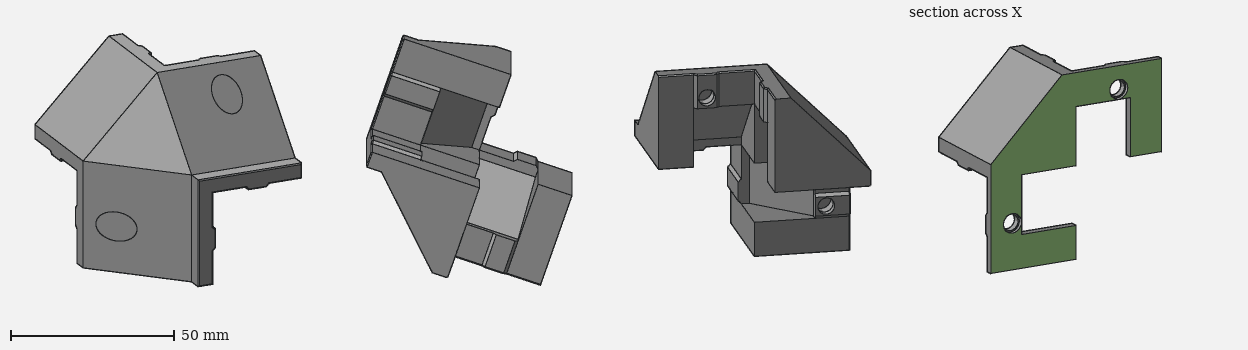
import cadquery as cq


arm_count = 3
outer_reach = 60.0
section = outer_reach / 2
wall = 5.0
plate_thickness = 5.0
edge_chamfer = 0.4
selection_margin = 0.05

tab_base = 8.0
tab_height = 1.0

pocket_start = section / 2 - tab_base / 2
pocket_reach = section - pocket_start
pocket_lip = wall / 2
pocket_clearance = 2 * tab_height

hole_edge_distance = 7.7
screw_hole_diameter = 5.2
bore_diameter = 6.1
cap_diameter = 9.5
screw_floor = 2.35
cap_seat_x = 6.5


def turned(shape, steps):
    """Turn a shape of the -X arm onto the +Y arm (1 step) or the -Z arm (2 steps)."""
    return shape.rotate((0, 0, 0), (-1, 1, -1), 360 / arm_count * steps)


def arm_prism(outline, start_x, end_x):
    """Extrude an outline of (-Y, +Z) distances from the inner corner along the -X arm."""
    points = [(-y_out, z_out) for y_out, z_out in outline]
    return cq.Workplane("YZ", origin=(start_x, 0, 0)).polyline(points).close().extrude(end_x - start_x)


def bar():
    """Square bar of the -X arm, continued through the corner."""
    square = [(0, 0), (section, 0), (section, section), (0, section)]
    return arm_prism(square, -section, section)


def ridge():
    """Outer edge of an arm, removed to leave its sloped face."""
    triangle = [(section, wall), (section, section), (wall, section)]
    return arm_prism(triangle, -section, section)


def corner_tip():
    """Block beyond the triangular face that joins the three slopes."""
    block_size = 4 * section
    face = cq.Plane(origin=(wall, -wall, section), xDir=(1, 1, 0), normal=(1, -1, 1))
    return cq.Workplane(face).rect(block_size, block_size).extrude(section)


def plate():
    """L-shaped thickening of the +X outer face."""
    outline = [(-wall, wall), (section, wall), (section, 0), (0, 0), (0, -section), (-wall, -section)]
    return cq.Workplane("YZ", origin=(section, 0, 0)).polyline(outline).close().extrude(plate_thickness)


def tab(length):
    """Tab under the -X arm, running outward along -Y."""
    middle = -section / 2
    half_base = tab_base / 2
    half_top = half_base - tab_height
    outline = [
        (middle - half_base, 0),
        (middle - half_top, -tab_height),
        (middle + half_top, -tab_height),
        (middle + half_base, 0),
    ]
    return cq.Workplane("XZ").polyline(outline).close().extrude(length)


def swapped(shape):
    """Mirror that exchanges outward -Y with outward +Z, and the +Y arm with the -Z arm."""
    return shape.mirror((0, 1, 1))


def pocket():
    """Pocket of the -X arm, with an inner face parallel to the slope."""
    outline = [
        (-pocket_clearance, -pocket_clearance),
        (pocket_reach, -pocket_clearance),
        (pocket_reach, pocket_lip),
        (pocket_lip, pocket_reach),
        (-pocket_clearance, pocket_reach),
    ]
    return arm_prism(outline, pocket_start - section, 0)


def x_cylinder(diameter, start_x, end_x):
    """Cylinder on the screw axis of the +Y arm."""
    axis_start = (start_x, section / 2, section - hole_edge_distance)
    return cq.Workplane("YZ", origin=axis_start).circle(diameter / 2).extrude(end_x - start_x)


def solid_connector():
    """Three arms and their corner, before tabs, pockets and holes."""
    body = bar().union(turned(bar(), 1)).union(turned(bar(), 2))
    for step in range(arm_count):
        body = body.cut(turned(ridge(), step))
    return body.cut(corner_tip()).union(plate())


def add_tabs(body):
    """Add two tabs to each arm; those reaching the +X face also cross the plate."""
    long_tab = section + plate_thickness
    tabs = [
        tab(section),
        swapped(tab(section)),
        turned(tab(section), 1),
        turned(swapped(tab(long_tab)), 1),
        turned(tab(long_tab), 2),
        turned(swapped(tab(section)), 2),
    ]
    for arm_tab in tabs:
        body = body.union(arm_tab)
    return body


def chamfer_outer_faces(body):
    """Break the inner edges of the -Y and +Z faces and every edge of the +X face."""
    reach = section + selection_margin
    inset = section - selection_margin
    front_box = cq.selectors.BoxSelector(
        (-reach, -reach, -reach), (selection_margin, -inset, selection_margin)
    )
    top_box = cq.selectors.BoxSelector(
        (-reach, -selection_margin, inset), (selection_margin, reach, reach)
    )
    body = body.faces("<Y").edges(front_box).chamfer(edge_chamfer)
    body = body.faces(">Z").edges(top_box).chamfer(edge_chamfer)
    return body.faces(">X").edges().chamfer(edge_chamfer)


def screw_hole():
    """Stepped hole of the +Y arm: through hole, wider bore and cap seat."""
    bore_x = screw_floor - tab_height
    hole = x_cylinder(screw_hole_diameter, -pocket_clearance, bore_x)
    bore = x_cylinder(bore_diameter, bore_x, cap_seat_x)
    seat = x_cylinder(cap_diameter, cap_seat_x, section)
    return hole.union(bore).union(seat)


def make_cap():
    """Cap of the +Y arm, flush with the slope."""
    return x_cylinder(cap_diameter, cap_seat_x, section).cut(turned(ridge(), 1))


def make_connector():
    body = add_tabs(solid_connector())
    body = chamfer_outer_faces(body)
    for step in range(arm_count):
        body = body.cut(turned(pocket(), step))
    return body.cut(screw_hole()).cut(swapped(screw_hole()))


connector = make_connector()
caps = [make_cap(), swapped(make_cap())]

result = cq.Compound.makeCompound([connector.val(), *[cap.val() for cap in caps]])